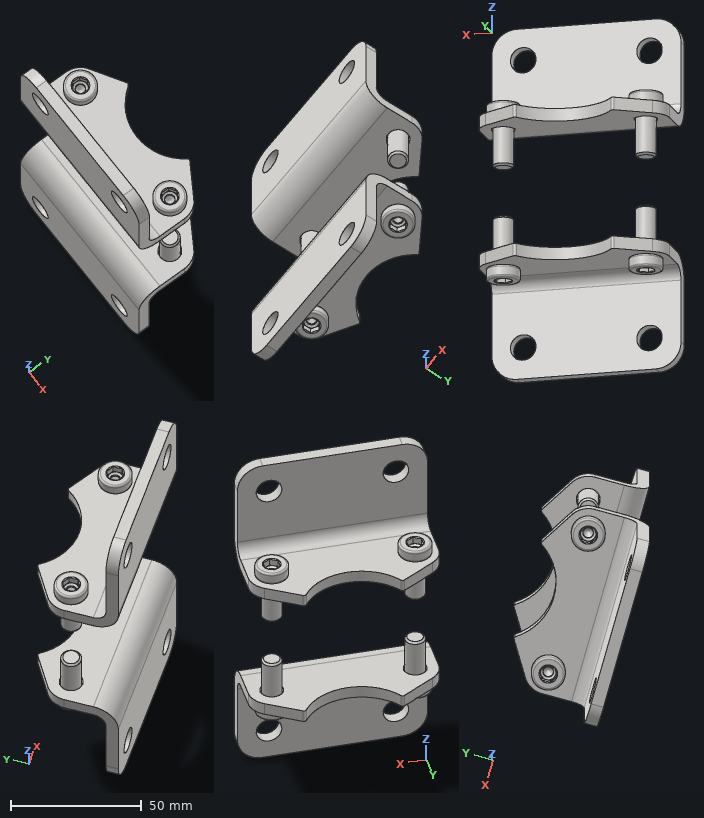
import cadquery as cq
import math

width = 75.0
thickness = 5.0
inner_bend_radius = 5.0
outer_bend_radius = inner_bend_radius + thickness
half_gap = 25.0
half_height = 69.5

flange_corner_radius = 10.0
mount_hole_diameter = 10.0
mount_hole_spacing = 50.0
mount_hole_edge_distance = 12.5

bolt_spacing = 56.5
bolt_y = 21.75
bolt_hole_diameter = 9.0
shoulder_radius = (width - bolt_spacing) / 2
shoulder_slope = math.radians(31.6)
pipe_radius = 22.5
pipe_center_y = 50.0
tip_radius = 1.0

shank_diameter = 8.0
shank_length = 20.0
shank_chamfer = 0.8
head_diameter = 13.0
head_height = 5.0
head_edge_radius = 0.8
socket_flats = 6.0
socket_corner_radius = socket_flats / math.sqrt(3)
socket_depth = 3.0
socket_mouth_radius = 3.55
mouth_slope = math.tan(math.radians(30))
pilot_radius = 2.0
pilot_length = 0.8
floor_slope = math.tan(math.radians(30))
point_slope = math.tan(math.radians(45))


def make_shelf_outline():
    """Plan shape of the bracket, used to trim the bent sheet."""
    half_width = width / 2
    bolt_x = bolt_spacing / 2
    mid_angle = (math.pi / 2 - shoulder_slope) / 2
    end_angle = math.pi / 2 - shoulder_slope
    shoulder_mid = (
        bolt_x + shoulder_radius * math.cos(mid_angle),
        bolt_y + shoulder_radius * math.sin(mid_angle),
    )
    shoulder_end = (
        bolt_x + shoulder_radius * math.cos(end_angle),
        bolt_y + shoulder_radius * math.sin(end_angle),
    )
    peak_y = shoulder_end[1] + shoulder_end[0] * math.tan(shoulder_slope)
    pipe = (
        cq.Workplane("XY")
        .center(0, pipe_center_y)
        .circle(pipe_radius)
        .extrude(half_height)
    )
    return (
        cq.Workplane("XY")
        .moveTo(-half_width, 0)
        .lineTo(half_width, 0)
        .lineTo(half_width, bolt_y)
        .threePointArc(shoulder_mid, shoulder_end)
        .lineTo(0, peak_y)
        .lineTo(-shoulder_end[0], shoulder_end[1])
        .threePointArc((-shoulder_mid[0], shoulder_mid[1]), (-half_width, bolt_y))
        .close()
        .extrude(half_height)
        .cut(pipe)
        .edges("|Z and >Y")
        .fillet(tip_radius)
    )


def make_bracket():
    """Upper bracket, with its shelf at the bottom and its flange pointing up."""
    bent_sheet = (
        cq.Workplane("YZ")
        .moveTo(0, half_height)
        .lineTo(0, half_gap + outer_bend_radius)
        .radiusArc((outer_bend_radius, half_gap), -outer_bend_radius)
        .lineTo(pipe_center_y, half_gap)
        .lineTo(pipe_center_y, half_gap + thickness)
        .lineTo(outer_bend_radius, half_gap + thickness)
        .radiusArc((thickness, half_gap + outer_bend_radius), inner_bend_radius)
        .lineTo(thickness, half_height)
        .close()
        .extrude(width / 2, both=True)
        .edges("|Y and >Z")
        .fillet(flange_corner_radius)
    )
    mount_holes = (
        cq.Workplane("XZ")
        .center(0, half_height - mount_hole_edge_distance)
        .rarray(mount_hole_spacing, 1, 2, 1)
        .circle(mount_hole_diameter / 2)
        .extrude(-thickness)
    )
    bolt_holes = (
        cq.Workplane("XY", origin=(0, bolt_y, half_gap))
        .rarray(bolt_spacing, 1, 2, 1)
        .circle(bolt_hole_diameter / 2)
        .extrude(thickness)
    )
    return bent_sheet.intersect(make_shelf_outline()).cut(mount_holes).cut(bolt_holes)


def make_socket():
    """Hex recess with a countersunk mouth, a conical floor and a drilled pilot."""
    inner_radius = socket_flats / 2
    mouth_depth = (socket_mouth_radius - inner_radius) * mouth_slope
    floor_z = head_height - socket_depth
    pilot_top_z = floor_z - (inner_radius - pilot_radius) * floor_slope
    pilot_bottom_z = pilot_top_z - pilot_length
    point_z = pilot_bottom_z - pilot_radius * point_slope
    bore = (
        cq.Workplane("XZ")
        .moveTo(0, head_height)
        .lineTo(socket_mouth_radius, head_height)
        .lineTo(inner_radius, head_height - mouth_depth)
        .lineTo(inner_radius, floor_z)
        .lineTo(pilot_radius, pilot_top_z)
        .lineTo(pilot_radius, pilot_bottom_z)
        .lineTo(0, point_z)
        .close()
        .revolve(360, (0, 0), (0, 1))
    )
    hexagon = (
        cq.Workplane("XY", origin=(0, 0, floor_z))
        .transformed(rotate=(0, 0, 30))
        .polygon(6, 2 * socket_corner_radius)
        .extrude(socket_depth)
    )
    return hexagon.union(bore)


def make_bolt():
    """Screw along Z, with the underside of its head on Z = 0."""
    head = (
        cq.Workplane("XY")
        .circle(head_diameter / 2)
        .extrude(head_height)
        .edges()
        .fillet(head_edge_radius)
    )
    shank = (
        cq.Workplane("XY")
        .circle(shank_diameter / 2)
        .extrude(-shank_length)
        .faces("<Z")
        .edges()
        .chamfer(shank_chamfer)
    )
    return head.union(shank).cut(make_socket())


upper_bracket = make_bracket()
lower_bracket = upper_bracket.mirror("XY")

bolts = []
for side in (-1, 1):
    upper_bolt = make_bolt().translate((side * bolt_spacing / 2, bolt_y, half_gap + thickness))
    bolts.append(upper_bolt.val())
    bolts.append(upper_bolt.mirror("XY").val())

result = cq.Compound.makeCompound([upper_bracket.val(), lower_bracket.val(), *bolts])